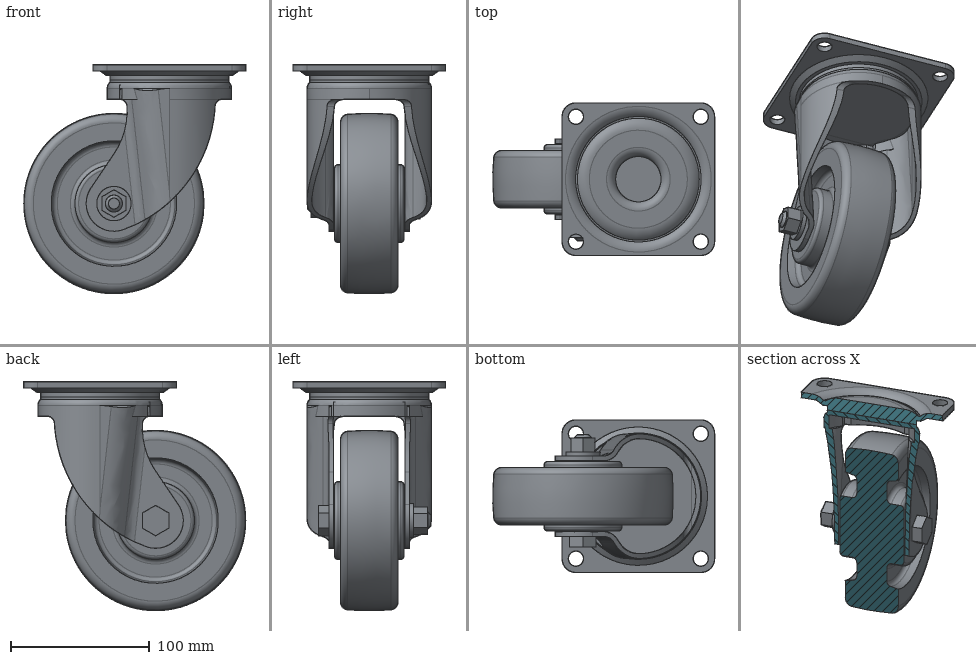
import cadquery as cq
import math


plate_side = 110.0
plate_thickness = 4.6
plate_corner_radius = 10.0
mount_hole_spacing = 90.0
mount_hole_diameter = 10.7
groove_outer_radius = 52.5
groove_floor_outer_radius = 45.2
groove_floor_inner_radius = 43.9
groove_inner_radius = 35.3
groove_depth = 3.6
pin_radius = 16.3
pin_recess_radius = 23.0
skirt_top_radius = 49.8
skirt_bottom_radius = 45.5
skirt_bottom_z = -7.8

neck_radius = 42.9
joint_z = -11.0

collar_radius = 44.9
collar_bottom_z = -24.9
collar_top_fillet = 6.1
fold_bevel = 3.3
sheet_thickness = 3.5
neck_bottom_z = joint_z - collar_top_fillet
leg_inner_y = 25.5
leg_outer_y = leg_inner_y + sheet_thickness
leg_end_radius = 20.0
leg_end_front_angle = 145
leg_end_back_angle = -70
leg_front_x = -30.5
leg_back_x = 33.0
leg_front_curve = (-33.2, -50.5)
leg_front_curve_end = (-40.6, -65.2)
leg_back_curve = (19.0, -75.9)
notch_radius = 5.3
fold_angle = 60.0
fold_crest_radius = 23.0
fold_lean = 0.11
crest_corner_z = -90.8
block_reach = 99.0
fork_base_z = -120.5

wheel_radius = 65.0
wheel_offset = 40.0
total_height = 165.0
axle_x = -wheel_offset
axle_z = wheel_radius - total_height
wheel_half_width = 20.8
tread_half_width = 15.8
tread_edge_radius = 64.4
face_outer_radius = 58.0
shoulder_middle = (62.5, 19.1)
recess_radius = 45.2
recess_wall_bottom_radius = 44.0
web_half_width = 11.9
web_fillet = 3.3
hub_radius = 28.0
hub_half_width = 25.0
hub_edge_fillet = 2.6

bolt_radius = 6.1
bolt_tip_radius = 4.0
bolt_tip_y = -44.4
bolt_head_flats = 19.0
bolt_head_height = 7.6
nut_flats = 17.2
nut_top_y = -42.0
flange_radius = 12.4
flange_thickness = 3.0


def mirrored_y(points):
    """Return the points in reverse order, mirrored across Y = 0."""
    return [(x, -y) for x, y in reversed(points)]


def on_circle(center, radius, degrees):
    """Point on a circle at an angle from its first axis."""
    angle = math.radians(degrees)
    return (center[0] + radius * math.cos(angle), center[1] + radius * math.sin(angle))


def along_axle(y_start, y_end, radius):
    """Cylinder on the wheel axle between two Y positions."""
    plane = cq.Workplane("XZ", origin=(axle_x, y_start, axle_z))
    return plane.circle(radius).extrude(y_start - y_end)


def hexagon_on_axle(y_start, y_end, across_flats):
    """Hexagonal prism on the axle with two corners pointing up and down."""
    corner_diameter = across_flats / math.cos(math.radians(30))
    plane = cq.Workplane("XZ", origin=(axle_x, y_start, axle_z))
    return plane.transformed(rotate=(0, 0, 90)).polygon(6, corner_diameter).extrude(y_start - y_end)


def rounded_middle(start_radius, run):
    """Middle of the arc that leaves the flat top tangentially and drops by groove_depth."""
    half_slope = math.atan(groove_depth / abs(run))
    arc_radius = abs(run) / math.sin(2 * half_slope)
    sideways = math.copysign(arc_radius * math.sin(half_slope), run)
    return (start_radius + sideways, arc_radius * (math.cos(half_slope) - 1))


def groove_cutter():
    """Ring cutter with both walls rounding over into the flat top."""
    outer_run = groove_outer_radius - groove_floor_outer_radius
    inner_run = groove_floor_inner_radius - groove_inner_radius
    return (
        cq.Workplane("XZ")
        .moveTo(groove_inner_radius, 0)
        .threePointArc(
            rounded_middle(groove_inner_radius, inner_run), (groove_floor_inner_radius, -groove_depth)
        )
        .lineTo(groove_floor_outer_radius, -groove_depth)
        .threePointArc(rounded_middle(groove_outer_radius, -outer_run), (groove_outer_radius, 0))
        .close()
        .revolve(360, (0, 0, 0), (0, 1, 0))
    )


def pin_recess_cutter():
    """Ring cutter around the button with a quarter-round outer wall."""
    fillet = pin_recess_radius - pin_radius
    return (
        cq.Workplane("XZ")
        .moveTo(pin_radius, 0)
        .lineTo(pin_recess_radius, 0)
        .threePointArc(on_circle((pin_recess_radius, -fillet), fillet, 135), (pin_radius, -fillet))
        .close()
        .revolve(360, (0, 0, 0), (0, 1, 0))
    )


def make_plate():
    """Square plate with mounting holes, pressed groove, centre button and round neck."""
    plate = (
        cq.Workplane("XY")
        .rect(plate_side, plate_side)
        .extrude(-plate_thickness)
        .edges("|Z")
        .fillet(plate_corner_radius)
    )
    mount_holes = (
        cq.Workplane("XY")
        .rect(mount_hole_spacing, mount_hole_spacing, forConstruction=True)
        .vertices()
        .circle(mount_hole_diameter / 2)
        .extrude(-plate_thickness)
    )
    skirt_and_neck = (
        cq.Workplane("XZ")
        .moveTo(0, -plate_thickness)
        .lineTo(skirt_top_radius, -plate_thickness)
        .lineTo(skirt_bottom_radius, skirt_bottom_z)
        .lineTo(neck_radius, skirt_bottom_z)
        .lineTo(neck_radius, joint_z)
        .lineTo(0, joint_z)
        .close()
        .revolve(360, (0, 0, 0), (0, 1, 0))
    )
    plate = plate.cut(mount_holes).union(skirt_and_neck)
    return plate.cut(groove_cutter()).cut(pin_recess_cutter())


def fold_section(z, inset):
    """Horizontal outline of the flat legs in front and the S-shaped fold that widens them.

    inset is 0 for the outer face of the sheet and the sheet thickness for the inner face.
    """
    crest_x = fold_lean * (crest_corner_z - z)
    crest_y = collar_radius - inset
    flat_y = leg_outer_y - inset
    crest_radius = fold_crest_radius - inset
    slope = math.radians(fold_angle)
    root_radius = (crest_y - flat_y) / (1 - math.cos(slope)) - crest_radius
    root_x = crest_x - (crest_radius + root_radius) * math.sin(slope)
    root_center = (root_x, flat_y + root_radius)
    crest_center = (crest_x, crest_y - crest_radius)
    path = [
        (crest_x - block_reach, flat_y),
        (root_x, flat_y),
        on_circle(root_center, root_radius, -90 + fold_angle / 2),
        on_circle(root_center, root_radius, -90 + fold_angle),
        on_circle(crest_center, crest_radius, 90 + fold_angle / 2),
        (crest_x, crest_y),
        (crest_x + block_reach, crest_y),
    ]
    other = mirrored_y(path)
    return (
        cq.Workplane("XY", origin=(0, 0, z))
        .moveTo(*path[0])
        .lineTo(*path[1])
        .threePointArc(path[2], path[3])
        .threePointArc(path[4], path[5])
        .lineTo(*path[6])
        .lineTo(*other[0])
        .lineTo(*other[1])
        .threePointArc(other[2], other[3])
        .threePointArc(other[4], other[5])
        .lineTo(*other[6])
        .close()
        .val()
    )


def fork_block(inset):
    """Solid bounded by one face of the fork sheet: leaning folds in front, an upright round back."""
    top_z = joint_z - inset
    round_radius = collar_radius - inset
    folds = cq.Solid.makeLoft([fold_section(top_z, inset), fold_section(fork_base_z, inset)], True)
    round_back = (
        cq.Workplane("XY", origin=(0, 0, fork_base_z))
        .moveTo(-block_reach, -round_radius)
        .lineTo(0, -round_radius)
        .threePointArc((round_radius, 0), (0, round_radius))
        .lineTo(-block_reach, round_radius)
        .close()
        .extrude(top_z - fork_base_z)
    )
    return round_back.intersect(cq.Workplane(folds))


def leg_profile():
    """Side outline of the legs, extruded through both of them."""
    axle = (axle_x, axle_z)
    front_tangent = on_circle(axle, leg_end_radius, leg_end_front_angle)
    back_tangent = on_circle(axle, leg_end_radius, leg_end_back_angle)
    notch_z = collar_bottom_z - notch_radius
    front_notch = (leg_front_x - notch_radius, notch_z)
    back_notch = (leg_back_x + notch_radius, notch_z)
    return (
        cq.Workplane("XZ")
        .moveTo(front_notch[0], joint_z)
        .lineTo(front_notch[0], collar_bottom_z)
        .threePointArc(on_circle(front_notch, notch_radius, 45), (leg_front_x, notch_z))
        .threePointArc(leg_front_curve, leg_front_curve_end)
        .lineTo(*front_tangent)
        .threePointArc(on_circle(axle, leg_end_radius, 215), back_tangent)
        .threePointArc(leg_back_curve, (leg_back_x, notch_z))
        .threePointArc(on_circle(back_notch, notch_radius, 135), (back_notch[0], collar_bottom_z))
        .lineTo(back_notch[0], joint_z)
        .close()
        .extrude(block_reach, both=True)
    )


def leg_limit():
    """Space the legs may fill: a wide cylinder, bevelled outwards
    from just below the rounded edge of the collar."""
    inner_radius = collar_radius - fold_bevel
    top_z = neck_bottom_z + fold_bevel
    rim_radius = 2 * collar_radius
    rim_z = top_z - (rim_radius - inner_radius)
    return (
        cq.Workplane("XZ")
        .moveTo(0, fork_base_z)
        .lineTo(0, top_z)
        .lineTo(inner_radius, top_z)
        .lineTo(rim_radius, rim_z)
        .lineTo(rim_radius, fork_base_z)
        .close()
        .revolve(360, (0, 0, 0), (0, 1, 0))
    )


def make_fork():
    """Pressed sheet fork: round collar and neck on top, two folded legs below."""
    profile = leg_profile()
    collar = (
        cq.Workplane("XY", origin=(0, 0, collar_bottom_z))
        .circle(collar_radius)
        .extrude(joint_z - collar_bottom_z)
        .faces(">Z")
        .edges()
        .fillet(collar_top_fillet)
    )
    legs = fork_block(0).intersect(profile).intersect(leg_limit())
    outside = collar.union(legs)
    neck = cq.Workplane("XY", origin=(0, 0, joint_z)).circle(neck_radius).extrude(neck_bottom_z - joint_z)
    inside_top = joint_z - sheet_thickness
    collar_bore = (
        cq.Workplane("XY", origin=(0, 0, inside_top))
        .circle(collar_radius - sheet_thickness)
        .extrude(collar_bottom_z - inside_top)
    )
    between_legs = fork_block(sheet_thickness).intersect(profile)
    axle_hole = along_axle(collar_radius, -collar_radius, bolt_radius)
    return outside.union(neck).cut(collar_bore).cut(between_legs).cut(axle_hole)


def recess_cutter():
    """Ring recess in the +Y side of the wheel, around the hub, about the Y axis."""
    hub_edge_center = (hub_radius - hub_edge_fillet, hub_half_width - hub_edge_fillet)
    web_side = web_half_width + web_fillet
    hub_root_center = (hub_radius + web_fillet, web_side)
    recess_root_center = (recess_wall_bottom_radius - web_fillet, web_side)
    return (
        cq.Workplane("XY")
        .moveTo(hub_edge_center[0], hub_half_width)
        .threePointArc(on_circle(hub_edge_center, hub_edge_fillet, 45), (hub_radius, hub_edge_center[1]))
        .lineTo(hub_radius, web_side)
        .threePointArc(on_circle(hub_root_center, web_fillet, 225), (hub_root_center[0], web_half_width))
        .lineTo(recess_root_center[0], web_half_width)
        .threePointArc(
            on_circle(recess_root_center, web_fillet, -45), (recess_wall_bottom_radius, web_side)
        )
        .lineTo(recess_radius, wheel_half_width)
        .lineTo(recess_radius, hub_half_width)
        .close()
        .revolve(360, (0, 0, 0), (0, 1, 0))
    )


def make_wheel():
    """Wheel with a crowned tread, a recess in each side and a hub bored for the axle."""
    shoulder_radius, shoulder_half_width = shoulder_middle
    tyre = (
        cq.Workplane("XY")
        .moveTo(0, wheel_half_width)
        .lineTo(face_outer_radius, wheel_half_width)
        .threePointArc(shoulder_middle, (tread_edge_radius, tread_half_width))
        .threePointArc((wheel_radius, 0), (tread_edge_radius, -tread_half_width))
        .threePointArc((shoulder_radius, -shoulder_half_width), (face_outer_radius, -wheel_half_width))
        .lineTo(0, -wheel_half_width)
        .close()
        .revolve(360, (0, 0, 0), (0, 1, 0))
    )
    hub = cq.Workplane("XZ").circle((hub_radius + recess_radius) / 2).extrude(hub_half_width, both=True)
    recess = recess_cutter()
    wheel = tyre.union(hub).cut(recess).cut(recess.mirror("XZ")).translate((axle_x, 0, axle_z))
    return wheel.cut(along_axle(hub_half_width, -hub_half_width, bolt_radius))


def make_bolt():
    """Axle bolt with its head seated on the +Y leg and a chamfered tip."""
    head_y = leg_outer_y + bolt_head_height
    head = hexagon_on_axle(head_y, leg_outer_y, bolt_head_flats)
    shank = along_axle(leg_outer_y, bolt_tip_y, bolt_radius)
    shank = shank.faces("<Y").chamfer(bolt_radius - bolt_tip_radius)
    return head.union(shank)


def make_nut():
    """Flanged hexagon nut seated on the -Y leg."""
    flange_top_y = -leg_outer_y - flange_thickness
    flange = along_axle(-leg_outer_y, flange_top_y, flange_radius)
    hexagon = hexagon_on_axle(flange_top_y, nut_top_y, nut_flats)
    thread_hole = along_axle(-leg_outer_y, nut_top_y, bolt_radius)
    return flange.union(hexagon).cut(thread_hole)


plate = make_plate()
fork = make_fork()
wheel = make_wheel()
bolt = make_bolt()
nut = make_nut()

result = cq.Compound.makeCompound([plate.val(), fork.val(), wheel.val(), bolt.val(), nut.val()])